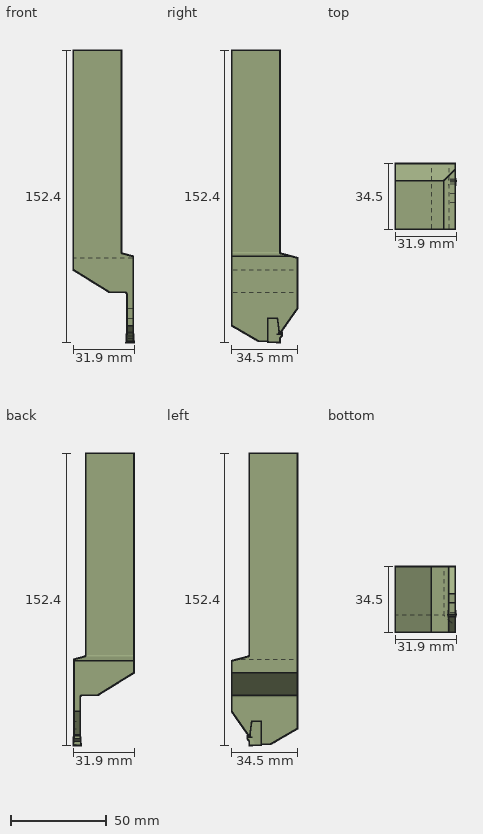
import cadquery as cq
import math

TOTAL_HEIGHT = 152.4

SHANK = 25.3
HEAD_WIDTH = 31.4
HEAD_DEPTH = 34.5
LEDGE_Z = 46.6
LEDGE_ANGLE = 15.0
ROOT_RADIUS = 0.6

SLOPE_TOP_Z = 38.0
SLOPE_END_X = 18.9
HEAD_BOTTOM_Z = 26.2

BLADE_WIDTH = 3.4
BLADE_ROOT_RADIUS = 1.0
BLADE_LEFT = HEAD_WIDTH - BLADE_WIDTH
BLADE_CENTER = HEAD_WIDTH - BLADE_WIDTH / 2
BLADE_BOTTOM_Z = 0.6
BACK_CHAMFER_Y = 14.2
BACK_CHAMFER_Z = 8.8
FRONT_SLOPE_Z = 17.8
JAW_TIP_Y = 25.9

SEAT_BACK_Y = 18.9
SEAT_TOP_Z = 12.6
SEAT_TOP_Y = 24.0
JAW_Y = 24.8
JAW_Z = 5.6

CHIP_STEP_Z = 5.0
NOSE_Y = 26.4
NOSE_BOTTOM_Z = 3.7
RAKE_Y = 25.3
RAKE_TOP_Z = 2.3
INSERT_HEEL_Z = 0.2

WING_OVERHANG = 0.5
WING_TOP_Z = 4.3
WING_TOP_Y = 24.0
WING_BOTTOM_Y = 21.8
WING_REACH = 3.4


def ledge_end_z(overhang):
    """Height of the sloping ledge at its outer edge."""
    return LEDGE_Z - overhang * math.tan(math.radians(LEDGE_ANGLE))


def root_edge(x, y, z):
    """Selector for the edge whose middle lies nearest the given point."""
    return cq.selectors.NearestToPointSelector((x, y, z))


def make_width_profile():
    """Holder outline in XZ, extruded over the depth, with both inner corners rounded."""
    points = [
        (0, TOTAL_HEIGHT),
        (SHANK, TOTAL_HEIGHT),
        (SHANK, LEDGE_Z),
        (HEAD_WIDTH, ledge_end_z(HEAD_WIDTH - SHANK)),
        (HEAD_WIDTH, 0),
        (BLADE_LEFT, 0),
        (BLADE_LEFT, HEAD_BOTTOM_Z),
        (SLOPE_END_X, HEAD_BOTTOM_Z),
        (0, SLOPE_TOP_Z),
    ]
    body = cq.Workplane("XZ").polyline(points).close().extrude(-HEAD_DEPTH)
    middle = HEAD_DEPTH / 2
    body = body.edges(root_edge(SHANK, middle, LEDGE_Z)).fillet(ROOT_RADIUS)
    return body.edges(root_edge(BLADE_LEFT, middle, HEAD_BOTTOM_Z)).fillet(BLADE_ROOT_RADIUS)


def make_depth_profile():
    """Holder outline in YZ with the insert seat, extruded over the width."""
    points = [
        (0, TOTAL_HEIGHT),
        (SHANK, TOTAL_HEIGHT),
        (SHANK, LEDGE_Z),
        (HEAD_DEPTH, ledge_end_z(HEAD_DEPTH - SHANK)),
        (HEAD_DEPTH, FRONT_SLOPE_Z),
        (JAW_TIP_Y, JAW_Z),
        (JAW_Y, JAW_Z),
        (SEAT_TOP_Y, SEAT_TOP_Z),
        (SEAT_BACK_Y, SEAT_TOP_Z),
        (SEAT_BACK_Y, BLADE_BOTTOM_Z),
        (BACK_CHAMFER_Y, BLADE_BOTTOM_Z),
        (0, BACK_CHAMFER_Z),
    ]
    body = cq.Workplane("YZ").polyline(points).close().extrude(HEAD_WIDTH)
    return body.edges(root_edge(HEAD_WIDTH / 2, SHANK, LEDGE_Z)).fillet(ROOT_RADIUS)


def make_holder():
    return make_width_profile().intersect(make_depth_profile())


def extrude_about_blade(points, width):
    """Extrude a YZ outline symmetrically about the blade's middle plane."""
    plane = cq.Workplane("YZ", origin=(BLADE_CENTER, 0, 0))
    return plane.polyline(points).close().extrude(width / 2, both=True)


def make_wings():
    """Wedge-sided cutting tip, widest at the rake face."""
    width = BLADE_WIDTH + 2 * WING_OVERHANG
    tip = extrude_about_blade(
        [
            (WING_BOTTOM_Y, INSERT_HEEL_Z),
            (WING_TOP_Y, WING_TOP_Z),
            (NOSE_Y, WING_TOP_Z),
            (NOSE_Y, NOSE_BOTTOM_Z),
            (RAKE_Y, RAKE_TOP_Z),
            (RAKE_Y, 0),
        ],
        width,
    )
    rise = WING_TOP_Z - INSERT_HEEL_Z
    run = WING_TOP_Y - WING_BOTTOM_Y
    flare_plane = cq.Plane(
        origin=(BLADE_CENTER, WING_BOTTOM_Y, INSERT_HEEL_Z),
        xDir=(0, rise, -run),
        normal=(0, run, rise),
    )
    flare = (
        cq.Workplane(flare_plane)
        .polyline([
            (0, -BLADE_WIDTH / 2),
            (WING_REACH, -width / 2),
            (WING_REACH, width / 2),
            (0, BLADE_WIDTH / 2),
        ])
        .close()
        .extrude(2 * rise, both=True)
    )
    return tip.intersect(flare)


def make_insert():
    core = extrude_about_blade(
        [
            (SEAT_BACK_Y, INSERT_HEEL_Z),
            (SEAT_BACK_Y, SEAT_TOP_Z),
            (SEAT_TOP_Y, SEAT_TOP_Z),
            (JAW_Y, JAW_Z),
            (JAW_Y, CHIP_STEP_Z),
            (NOSE_Y, CHIP_STEP_Z),
            (NOSE_Y, NOSE_BOTTOM_Z),
            (RAKE_Y, RAKE_TOP_Z),
            (RAKE_Y, 0),
        ],
        BLADE_WIDTH,
    )
    return core.union(make_wings())


holder = make_holder()
insert = make_insert()
result = cq.Compound.makeCompound([holder.solids().val(), insert.solids().val()])